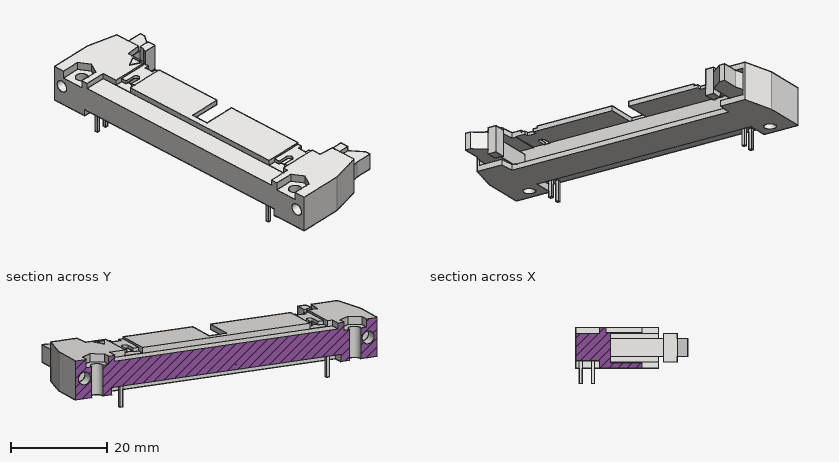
import cadquery as cq
import math


length = 70.4
half_length = length / 2
height = 8.5
mouth_y = 13.8
tower_y = 17.25
taper_start_y = 10.1
tower_outer_x = 33.45
tower_inner_x = 27.3
tower_root_x = 27.0

cavity_half_width = 26.1
cavity_rear_y = 7.25
wall = 1.1
ceiling_z = height - wall

top_step_half_width = 26.0
top_step_depth = 1.3
top_step_y = 4.9
bottom_step_half_width = 26.7
bottom_step_height = 1.55
bottom_step_y = 4.9

pin_span = 48.2
pitches_in_row = 19
pitch = pin_span / pitches_in_row

key_width = 4.1
key_rear_y = 6.35

channel_width = 4.0
channel_depth = 0.4
channel_left_x = -20.35
pitches_between_channels = 17
channel_xs = (channel_left_x, channel_left_x + pitches_between_channels * pitch)
ledge_end_y = 6.6
ledge_z = 7.3
slot_width = 1.5
slot_end_y = 9.65
edge_notch_width = 2.05
edge_notch_depth = 1.0

pin_size = 0.7
pin_drop = 3.2
pin_column_x = pin_span / 2
pin_front_y = 1.05
pin_embed = 0.7

mark_width = 2.5
mark_tip_y = 11.0
mark_base_y = 13.4
mark_depth = 0.15

mount_x = 30.05
mount_y = 2.8
hole_diameter = 2.7
nut_flats = 5.15
nut_depth = 1.75

rear_hole_x = 33.1
rear_hole_z = 4.4
rear_hole_depth = 4.9

latch_top_y = 23.3
latch_outer_x = 32.4
latch_flare_x = 32.9
latch_flare_y = 19.2
latch_tip_x = 31.1
latch_inner_x = 28.15
latch_bottom_z = 2.4
latch_top_z = 6.2
hook_inner_x = 26.2
hook_top_y = 21.1
hook_bottom_y = 18.6
hook_lip_y = 18.2
hook_lip_width = 0.55
hook_bottom_z = 1.3
hook_top_z = 7.25


def box(x0, x1, y0, y1, z0, z1):
    """Axis-aligned block between two opposite corners."""
    return cq.Workplane("XY").box(x1 - x0, y1 - y0, z1 - z0, centered=False).translate((x0, y0, z0))


def prism(points, z0, z1):
    """Closed XY outline extruded from z0 to z1."""
    return cq.Workplane("XY").workplane(offset=z0).polyline(points).close().extrude(z1 - z0)


def both_ends(solid):
    """The right-hand solid joined with its mirror image on the left."""
    return solid.union(solid.mirror("YZ"))


def housing():
    right_side = [
        (half_length, 0),
        (half_length, taper_start_y),
        (tower_outer_x, tower_y),
        (tower_inner_x, tower_y),
        (tower_root_x, mouth_y),
    ]
    left_side = [(-x, y) for x, y in reversed(right_side)]
    body = prism(right_side + left_side, 0, height)
    cavity = box(-cavity_half_width, cavity_half_width, cavity_rear_y, mouth_y, wall, ceiling_z)
    top_step = box(
        -top_step_half_width, top_step_half_width, 0, top_step_y, height - top_step_depth, height
    )
    bottom_step = box(
        -bottom_step_half_width, bottom_step_half_width, 0, bottom_step_y, 0, bottom_step_height
    )
    key_slot = box(-key_width / 2, key_width / 2, key_rear_y, mouth_y, ceiling_z, height)
    return body.cut(cavity).cut(top_step).cut(bottom_step).cut(key_slot)


def channel(x):
    """Cutter for one channel with its rear ledge, round-ended slot and edge notch."""
    half = channel_width / 2
    slot_radius = slot_width / 2
    slot_centre_y = slot_end_y - slot_radius
    groove = box(x - half, x + half, top_step_y, mouth_y, height - channel_depth, height)
    ledge = box(x - half, x + half, top_step_y, ledge_end_y, ledge_z, height)
    slot = box(x - slot_radius, x + slot_radius, ledge_end_y, slot_centre_y, ledge_z, height)
    slot_end = (
        cq.Workplane("XY", origin=(x, slot_centre_y, ceiling_z)).circle(slot_radius).extrude(wall)
    )
    notch_half = edge_notch_width / 2
    notch = box(
        x - notch_half, x + notch_half, mouth_y - edge_notch_depth, mouth_y, ceiling_z, height
    )
    return groove.union(ledge).union(slot).union(slot_end).union(notch)


def mounting():
    """Cutter for the right-hand mounting hole and its nut pocket, open at the rear."""
    half_flats = nut_flats / 2
    corner_radius = nut_flats / math.sqrt(3)
    shoulder_y = mount_y + corner_radius / 2
    pocket_outline = [
        (mount_x - half_flats, 0),
        (mount_x + half_flats, 0),
        (mount_x + half_flats, shoulder_y),
        (mount_x, mount_y + corner_radius),
        (mount_x - half_flats, shoulder_y),
    ]
    pocket = prism(pocket_outline, height - nut_depth, height)
    hole = cq.Workplane("XY", origin=(mount_x, mount_y, 0)).circle(hole_diameter / 2).extrude(height)
    return pocket.union(hole)


def rear_hole():
    """Cutter for the right-hand blind hole in the rear face."""
    rear_plane = cq.Workplane("XZ", origin=(rear_hole_x, 0, rear_hole_z))
    return rear_plane.circle(hole_diameter / 2).extrude(-rear_hole_depth)


def latch_slot():
    """Cutter hollowing the right-hand tower for its lever, open to the cavity and the tower end."""
    return box(
        cavity_half_width, latch_flare_x, cavity_rear_y, tower_y, hook_bottom_z, hook_top_z
    )


def latch():
    """Right-hand lever rising from the rear of its slot, with the wider hook on its inner side."""
    lever_outline = [
        (latch_inner_x, cavity_rear_y),
        (latch_flare_x, cavity_rear_y),
        (latch_flare_x, tower_y),
        (latch_outer_x, latch_flare_y),
        (latch_outer_x, latch_top_y),
        (latch_tip_x, latch_top_y),
        (latch_inner_x, hook_top_y),
    ]
    lip_rise = hook_bottom_y - hook_lip_y
    lip_outer_x = hook_inner_x + hook_lip_width
    hook_outline = [
        (latch_inner_x, hook_top_y),
        (hook_inner_x, hook_top_y),
        (hook_inner_x, hook_lip_y),
        (lip_outer_x, hook_lip_y),
        (lip_outer_x + lip_rise, hook_bottom_y),
        (latch_inner_x, hook_bottom_y),
    ]
    lever = prism(lever_outline, latch_bottom_z, latch_top_z)
    hook = prism(hook_outline, hook_bottom_z, hook_top_z)
    return lever.union(hook)


def pin_mark():
    """Cutter for the engraved triangle beside the first contact column."""
    triangle = [
        (-pin_column_x - mark_width / 2, mark_base_y),
        (-pin_column_x + mark_width / 2, mark_base_y),
        (-pin_column_x, mark_tip_y),
    ]
    return prism(triangle, height - mark_depth, height)


def pins():
    """Square pins in two rows, standing out of the bottom step."""
    pin_length = pin_drop + bottom_step_height + pin_embed
    centres = [
        (x, y) for x in (-pin_column_x, pin_column_x) for y in (pin_front_y, pin_front_y + pitch)
    ]
    base = cq.Workplane("XY", origin=(0, 0, -pin_drop))
    return base.pushPoints(centres).rect(pin_size, pin_size).extrude(pin_length)


result = housing()
for channel_x in channel_xs:
    result = result.cut(channel(channel_x))
result = result.cut(both_ends(latch_slot())).cut(both_ends(mounting()))
result = result.cut(both_ends(rear_hole())).cut(pin_mark())
result = result.union(both_ends(latch())).union(pins())